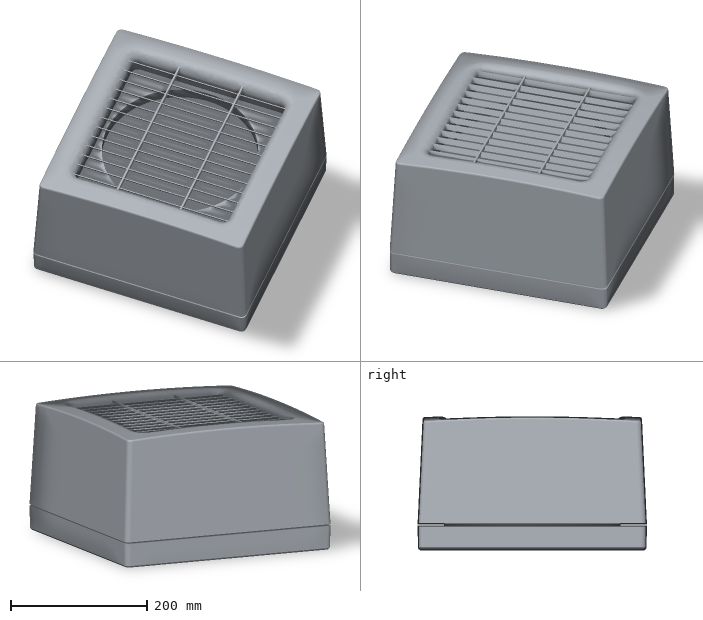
import cadquery as cq
import math

side = 335.0
height = 195.3
corner_radius = 7.7

base_height = 35.5
base_edge_chamfer = 2.7
base_draft = 1.0
gap = 2.7
duct_radius = 129.0

cover_bottom = base_height + gap
cover_draft = 2.7
dome_radius = 2512.5
cover_edge_fillet = 2.7

opening_side = 240.5
opening_corner_radius = 10.7
rim_fillet = 15.0
floor_z = 160.0
recess_radius = 115.0
recess_depth = 18.0

grille_embed = 6.7
grille_length = opening_side + 2 * grille_embed
slat_count = 13
slat_row_length = 227.5
slat_pitch = slat_row_length / (slat_count - 1)
slat_top_z = 188.0
slat_width = 8.5
slat_thickness = 1.5
slat_angle = 60.0
slat_row_shift = -4.0
first_slat_y = slat_row_shift - slat_row_length / 2
bar_spacing = 99.8
bar_width = 2.7
bar_height = 7.5
bar_top_z = 189.5


def make_base():
    return (
        cq.Workplane("XY")
        .workplane(offset=base_height)
        .rect(side, side)
        .extrude(-base_height, taper=base_draft)
        .edges("not #Z").fillet(corner_radius)
        .faces("<Z").edges().chamfer(base_edge_chamfer)
    )


def make_duct():
    """Round stub that joins the base to the cover across the gap."""
    return cq.Workplane("XY").workplane(offset=base_height).circle(duct_radius).extrude(gap)


def make_dome():
    """Ball whose surface reaches the overall height where the rolled rim begins."""
    rim_distance = opening_side / 2 + rim_fillet
    centre_z = height - math.sqrt(dome_radius**2 - rim_distance**2)
    return cq.Workplane("XY").sphere(dome_radius).translate((0, 0, centre_z))


def make_cover():
    wall_above_dome = 16.8
    block = (
        cq.Workplane("XY")
        .workplane(offset=cover_bottom)
        .rect(side, side)
        .extrude(height + wall_above_dome - cover_bottom, taper=cover_draft)
        .edges("not #Z").fillet(corner_radius)
    )
    domed = block.intersect(make_dome())
    return domed.faces(">Z").edges().fillet(cover_edge_fillet)


def cut_opening(cover):
    opening = (
        cq.Workplane("XY")
        .workplane(offset=floor_z)
        .rect(opening_side, opening_side)
        .extrude(height)
        .edges("|Z").fillet(opening_corner_radius)
    )
    margin = 6.7
    reach = opening_side / 2 + margin
    rim = cq.selectors.BoxSelector(
        (-reach, -reach, height - margin), (reach, reach, height + margin), boundingbox=True
    )
    opened = cover.cut(opening).edges(rim).fillet(rim_fillet)
    recess = (
        cq.Workplane("XY")
        .workplane(offset=floor_z)
        .circle(recess_radius)
        .extrude(-recess_depth)
    )
    return opened.cut(recess)


def make_slat(front_y):
    """Leaning slat whose high edge faces -Y."""
    return (
        cq.Workplane("XY")
        .box(grille_length, slat_width, slat_thickness, centered=(True, False, False))
        .translate((0, 0, -slat_thickness))
        .rotate((0, 0, 0), (1, 0, 0), -slat_angle)
        .translate((0, front_y, slat_top_z))
    )


def make_bar(x):
    return (
        cq.Workplane("XY")
        .box(bar_width, grille_length, bar_height)
        .translate((x, 0, bar_top_z - bar_height / 2))
    )


result = make_base().union(make_duct()).union(cut_opening(make_cover()))

for i in range(slat_count):
    result = result.union(make_slat(first_slat_y + i * slat_pitch))

for bar_x in (-bar_spacing / 2, bar_spacing / 2):
    result = result.union(make_bar(bar_x))